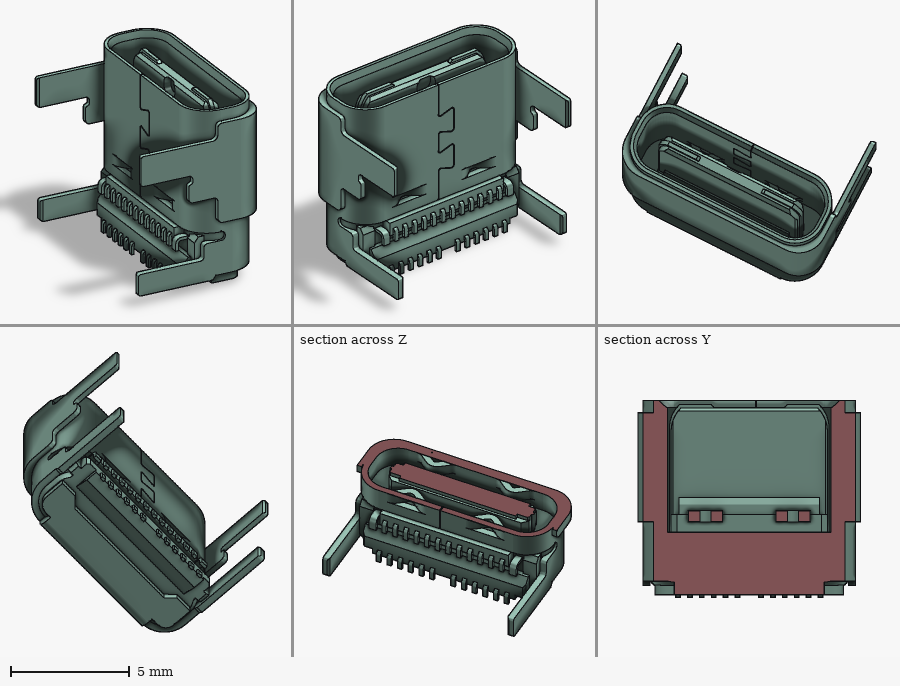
import cadquery as cq
import math


MOUTH_Z = 8.3
SHELL_BOTTOM_Z = 2.65
SHELL_HALF_X = 4.475
SHELL_HALF_Y = 1.585
SHELL_RADIUS = 1.31
WALL = 0.3
BORE_HALF_X = SHELL_HALF_X - WALL
BORE_HALF_Y = SHELL_HALF_Y - WALL
BORE_RADIUS = SHELL_RADIUS - WALL
LEAD_IN_WIDTH = 0.15
LEAD_IN_DEPTH = 0.3

SEAM_X = -0.3
SEAM_GAP = 0.035
DOVETAIL_REACH = 0.81
DOVETAIL_PITCH = 1.79
DOVETAIL_HEIGHT = 1.19
DOVETAIL_FLARE = 0.26
DOVETAIL_RADIUS = 0.11
DOVETAIL_COUNT = 2
FIRST_DOVETAIL_Z = 6.93

SPRING_X = 1.845
SPRING_HALF_X = 0.89
SPRING_Z = (3.18, 3.66)
SPRING_ANGLE = math.radians(38)
SPRING_SHOULDER_RADIUS = 0.66
SPRING_TROUGH_RADIUS = 0.21

LEG_TIP_Y = -4.24
LEG_END_RADIUS = 0.13
LEG_END_BEVEL = 0.09
CLIP_HALF_X = 4.695
CLIP_BACK_Y = 1.77
CLIP_RADIUS = 1.2
CLIP_Z = (3.18, 7.78)
CLIP_LEG_Z = (5.65, 7.03)
TAB_LEG_Z = (0.5, 1.5)
TAB_BOTTOM_Z = 0.69
TAB_TOP_Z = 2.25

FLOOR_Z = 2.75
HOUSING_BOTTOM_Z = 0.5
COLLAR_HALF_X = 4.355
COLLAR_BOTTOM_Z = 1.0
HOUSING_BEVEL = 0.18
EAR_X = (3.52, 4.15)
EAR_Y = (-1.38, -0.92)
EAR_TOP_Z = 2.48
EAR_BEVEL = (0.25, 0.19)
PIN_BLOCK_HALF_X = 3.02
PIN_BLOCK_FRONT_Y = -1.76
PIN_BLOCK_Z = (1.96, 2.58)
SILL_HALF_X = 3.82
SILL_FRONT_Y = -1.81
SILL_TOP_Z = 1.47
SILL_BOTTOM_Z = 0.26
SILL_SLOPE = (0.31, 0.4)
SILL_SIDE_BEVEL = 0.11
SILL_UNDERCUT_Y = (-1.28, -0.68)
FOOT_HALF_X = 3.97
FOOT_Y = (-0.46, 0.97)
FOOT_RADIUS = 0.49
FOOT_BOTTOM_Z = 0.11
HEEL_HALF_X = 3.16
HEEL_RADIUS = 0.38
FOOT_RECESS_HALF_X = (2.77, 3.17)
FOOT_RECESS_DEPTH = 0.4

TONGUE_ROOT_HALF_X = 3.29
TONGUE_ROOT_HALF_Y = 0.6
TONGUE_ROOT_TOP_Z = 3.5
TONGUE_ROOT_CORNER = 0.25
TONGUE_HALF_Y = 0.345
TONGUE_TOP_Z = 7.99
TONGUE_TIP_HALF_X = 2.87
TONGUE_END_DROP = 1.0
TONGUE_TIP_BEVEL = (0.14, 0.15)
TONGUE_SIDE_BEVEL = 0.08
PLATE_HALF_Y = 0.095
PLATE_PROUD_X = 0.075
PLATE_PROUD_Z = 0.13
PLATE_INNER_X = 1.48
PLATE_INNER_BEVEL = 0.12
POCKET_SIZE = (0.98, 0.72)
POCKET_Z = 7.56
POCKET_DEPTH = 0.33
POCKET_RADIUS = 0.3
BACK_LEDGE = (2.95, 0.51)
FRONT_LEDGE = (2.74, 0.49)
LEDGE_TOP_Z = 4.2
LEDGE_BEVEL = (0.3, 0.08)

TAIL_PITCH = 0.5
TAIL_WIDTH = 0.2
UPPER_TAIL_COUNT = 12
LOWER_TAILS_PER_SIDE = 6
UPPER_TAIL_TIP_Y = -1.905
UPPER_TAIL_Z = (1.69, 2.28)
UPPER_TAIL_THICKNESS = 0.14
LOWER_TAIL_TIP_Y = -1.94
LOWER_TAIL_Z = (0.0, 0.55)
LOWER_TAIL_THICKNESS = 0.12
TAIL_ROOT_Y = -1.2
END_TAIL_X = 3.29
END_TAIL_WIDTH = 0.33
BEND_RADIUS = 0.22
END_TAIL_BEND_RADIUS = 0.28

OVERLAP = 0.05
CLEARANCE = 1.0


def box(x_range, y_range, z_range):
    """Box between opposite corners."""
    (x0, x1), (y0, y1), (z0, z1) = x_range, y_range, z_range
    return cq.Workplane("XY").box(x1 - x0, y1 - y0, z1 - z0, centered=False).translate((x0, y0, z0))


def rounded_outline(plane, corners):
    """Closed polygon from (u, v, radius) corners, each with a tangent arc of its radius."""
    stretches = []
    for i, (u, v, radius) in enumerate(corners):
        here = cq.Vector(u, v)
        to_last = (cq.Vector(*corners[i - 1][:2]) - here).normalized()
        to_next = (cq.Vector(*corners[(i + 1) % len(corners)][:2]) - here).normalized()
        half_angle = to_last.getAngle(to_next) / 2
        tangent = radius / math.tan(half_angle)
        arc_gap = radius / math.sin(half_angle) - radius
        middle = here + (to_last + to_next).normalized() * arc_gap
        stretches.append((radius, here + to_last * tangent, middle, here + to_next * tangent))

    outline = cq.Workplane(plane).moveTo(*stretches[0][3].toTuple()[:2])
    for radius, start, middle, end in stretches[1:] + stretches[:1]:
        outline = outline.lineTo(*start.toTuple()[:2])
        if radius > 0:
            outline = outline.threePointArc(middle.toTuple()[:2], end.toTuple()[:2])
    return outline.close()


def racetrack(half_x, half_y, radius, z_range):
    """Rounded rectangle centred on Z."""
    block = box((-half_x, half_x), (-half_y, half_y), z_range)
    return block.edges("|Z").fillet(radius)


def mirrored_in_x(body):
    return body.union(body.mirror("YZ"))


def seam_plate(gap):
    """Left half of the front wall with its dovetail tongues, grown by a gap."""
    left = -BORE_HALF_X
    corners = [(left, MOUTH_Z + CLEARANCE, 0), (SEAM_X, MOUTH_Z + CLEARANCE, 0)]
    for i in range(DOVETAIL_COUNT):
        top = FIRST_DOVETAIL_Z - i * DOVETAIL_PITCH
        bottom = top - DOVETAIL_HEIGHT
        tip_x = SEAM_X + DOVETAIL_REACH
        corners.append((SEAM_X, top - DOVETAIL_FLARE, DOVETAIL_RADIUS))
        corners.append((tip_x, top, DOVETAIL_RADIUS))
        corners.append((tip_x, bottom, DOVETAIL_RADIUS))
        corners.append((SEAM_X, bottom + DOVETAIL_FLARE, DOVETAIL_RADIUS))
    corners += [(SEAM_X, 0, 0), (left, 0, 0)]
    outline = rounded_outline("XZ", corners)
    if gap > 0:
        outline = outline.offset2D(gap)
    return outline.extrude(WALL + 2 * OVERLAP).translate((0, -BORE_HALF_Y + OVERLAP, 0))


def spring(x, side):
    """Wavy strip of wall, pressed into the bore; side is -1 for the front wall, 1 for the back."""
    sine = math.sin(SPRING_ANGLE)
    drop = 1 - math.cos(SPRING_ANGLE)
    slope_start = SPRING_HALF_X - SPRING_SHOULDER_RADIUS * sine
    slope_end = SPRING_TROUGH_RADIUS * sine
    slope_drop = (slope_start - slope_end) * math.tan(SPRING_ANGLE)
    depth = (SPRING_SHOULDER_RADIUS + SPRING_TROUGH_RADIUS) * drop + slope_drop

    def wave(offset):
        shoulder = SPRING_SHOULDER_RADIUS - offset
        trough = SPRING_TROUGH_RADIUS + offset
        knee = (SPRING_HALF_X - shoulder * sine, offset + shoulder * drop)
        toe = (trough * sine, offset + depth - trough * drop)
        return shoulder, trough, knee, toe

    shoulder, trough, knee, toe = wave(0)
    strip = (
        cq.Workplane("XY")
        .moveTo(-SPRING_HALF_X, 0)
        .radiusArc((-knee[0], knee[1]), -shoulder)
        .lineTo(-toe[0], toe[1])
        .radiusArc(toe, trough)
        .lineTo(*knee)
        .radiusArc((SPRING_HALF_X, 0), -shoulder)
    )
    shoulder, trough, knee, toe = wave(WALL)
    strip = (
        strip.lineTo(SPRING_HALF_X, WALL)
        .radiusArc(knee, shoulder)
        .lineTo(*toe)
        .radiusArc((-toe[0], toe[1]), -trough)
        .lineTo(-knee[0], knee[1])
        .radiusArc((-SPRING_HALF_X, WALL), shoulder)
        .close()
        .extrude(SPRING_Z[1] - SPRING_Z[0])
        .translate((x, -SHELL_HALF_Y, SPRING_Z[0]))
    )
    return strip if side < 0 else strip.mirror("XZ")


def make_shell():
    tube = racetrack(SHELL_HALF_X, SHELL_HALF_Y, SHELL_RADIUS, (SHELL_BOTTOM_Z, MOUTH_Z))
    tube = tube.cut(racetrack(BORE_HALF_X, BORE_HALF_Y, BORE_RADIUS, (0, MOUTH_Z)))
    tube = tube.cut(lead_in())
    tube = tube.cut(seam_plate(SEAM_GAP).cut(seam_plate(0)))
    for x in (-SPRING_X, SPRING_X):
        x_range = (x - SPRING_HALF_X, x + SPRING_HALF_X)
        tube = tube.cut(box(x_range, (-SHELL_HALF_Y, SHELL_HALF_Y), SPRING_Z))
        for side in (-1, 1):
            tube = tube.union(spring(x, side))
    return tube


def lead_in():
    """Tapered plug that bevels the rim of the bore."""
    rim = racetrack(
        BORE_HALF_X + LEAD_IN_WIDTH,
        BORE_HALF_Y + LEAD_IN_WIDTH,
        BORE_RADIUS + LEAD_IN_WIDTH,
        (MOUTH_Z - LEAD_IN_DEPTH, MOUTH_Z + OVERLAP),
    )
    return rim.faces("<Z").chamfer(LEAD_IN_DEPTH, LEAD_IN_WIDTH)


def bracket_plan(half_x, back_y, radius):
    """Block reaching from the leg tips to a back face with rounded corners."""
    block = box((-half_x, half_x), (LEG_TIP_Y, back_y), (0, MOUTH_Z))
    return block.edges("|Z and >Y").fillet(radius)


def bevelled_gap(half_x, back_y, radius):
    """Space inside a bracket, flaring at the leg tips to bevel their inward edges."""
    gap = bracket_plan(half_x, back_y, radius)
    flare = (
        cq.Workplane("XY")
        .polyline([
            (half_x, LEG_TIP_Y),
            (half_x + LEG_END_BEVEL, LEG_TIP_Y),
            (half_x, LEG_TIP_Y + LEG_END_BEVEL),
        ])
        .close()
        .extrude(MOUTH_Z)
    )
    return gap.union(mirrored_in_x(flare))


def side_profile(corners):
    """Prism across the whole width from a (y, z, radius) outline."""
    return rounded_outline("YZ", corners).extrude(CLIP_HALF_X + CLEARANCE, both=True)


def make_clip():
    """Outer sheet-metal clip with the upper pair of legs."""
    edge_y = -0.555
    stub_y = -1.94
    stub_bottom_z = 4.39
    notch_y = -1.75
    notch_bottom_z = 5.3
    notch_slope = 0.1
    tight_radius = 0.1
    outer_radius = 0.2
    root_radius = 0.25
    profile = side_profile([
        (CLIP_BACK_Y + CLEARANCE, CLIP_Z[0], 0),
        (CLIP_BACK_Y + CLEARANCE, CLIP_Z[1], 0),
        (edge_y, CLIP_Z[1], outer_radius),
        (edge_y, CLIP_LEG_Z[1], root_radius),
        (LEG_TIP_Y, CLIP_LEG_Z[1], LEG_END_RADIUS),
        (LEG_TIP_Y, CLIP_LEG_Z[0], LEG_END_RADIUS),
        (notch_y, CLIP_LEG_Z[0], outer_radius),
        (notch_y, notch_bottom_z, tight_radius),
        (stub_y, notch_bottom_z - notch_slope, tight_radius),
        (stub_y, stub_bottom_z, outer_radius),
        (edge_y, stub_bottom_z, outer_radius),
        (edge_y, CLIP_Z[0], root_radius),
    ])
    clip = bracket_plan(CLIP_HALF_X, CLIP_BACK_Y, CLIP_RADIUS)
    return clip.cut(bevelled_gap(SHELL_HALF_X, SHELL_HALF_Y, SHELL_RADIUS)).intersect(profile)


def make_shell_skirt():
    """Back and sides of the shell below its mouth tube, with the lower pair of legs."""
    slot_end_y = -0.08
    slot_radius = 0.19
    slot_step_y = slot_end_y - slot_radius - OVERLAP
    shoulder_y = -1.1
    shoulder_radius = 0.17
    heel_y = -0.525
    heel_run = 0.15
    profile = side_profile([
        (SHELL_HALF_Y + CLEARANCE, TAB_BOTTOM_Z, 0),
        (SHELL_HALF_Y + CLEARANCE, SHELL_BOTTOM_Z + OVERLAP, 0),
        (slot_step_y, SHELL_BOTTOM_Z + OVERLAP, 0),
        (slot_step_y, SHELL_BOTTOM_Z, 0),
        (slot_end_y, SHELL_BOTTOM_Z, slot_radius),
        (slot_end_y, TAB_TOP_Z, slot_radius),
        (shoulder_y, TAB_TOP_Z, shoulder_radius),
        (shoulder_y, TAB_LEG_Z[1], shoulder_radius),
        (LEG_TIP_Y, TAB_LEG_Z[1], LEG_END_RADIUS),
        (LEG_TIP_Y, TAB_LEG_Z[0], LEG_END_RADIUS),
        (heel_y - heel_run, TAB_LEG_Z[0], 0),
        (heel_y, TAB_BOTTOM_Z, 0),
    ])
    skirt = bracket_plan(SHELL_HALF_X, SHELL_HALF_Y, SHELL_RADIUS)
    return skirt.cut(bevelled_gap(BORE_HALF_X, BORE_HALF_Y, BORE_RADIUS)).intersect(profile)


def make_housing():
    body = racetrack(BORE_HALF_X, BORE_HALF_Y, BORE_RADIUS, (HOUSING_BOTTOM_Z, FLOOR_Z))
    body = body.faces("<Z").chamfer(HOUSING_BEVEL)
    body = body.union(racetrack(COLLAR_HALF_X, BORE_HALF_Y, BORE_RADIUS, (COLLAR_BOTTOM_Z, FLOOR_Z)))

    bevel_drop, bevel_run = EAR_BEVEL
    ear = (
        cq.Workplane("YZ", origin=(EAR_X[0], 0, 0))
        .polyline([
            (EAR_Y[1], HOUSING_BOTTOM_Z),
            (EAR_Y[1], EAR_TOP_Z),
            (EAR_Y[0] + bevel_run, EAR_TOP_Z),
            (EAR_Y[0], EAR_TOP_Z - bevel_drop),
            (EAR_Y[0], HOUSING_BOTTOM_Z),
        ])
        .close()
        .extrude(EAR_X[1] - EAR_X[0])
    )
    ear = ear.faces("<Z").edges(">X").chamfer(HOUSING_BEVEL)
    body = body.union(mirrored_in_x(ear))

    pin_block = box(
        (-PIN_BLOCK_HALF_X, PIN_BLOCK_HALF_X),
        (PIN_BLOCK_FRONT_Y, 0),
        PIN_BLOCK_Z,
    )
    return body.union(pin_block).union(make_sill()).union(make_foot())


def make_sill():
    """Front ledge above the lower solder tails."""
    slope_run, slope_drop = SILL_SLOPE
    profile = [
        (SILL_FRONT_Y, SILL_BOTTOM_Z),
        (SILL_FRONT_Y, SILL_TOP_Z - slope_drop),
        (SILL_FRONT_Y + slope_run, SILL_TOP_Z),
        (0, SILL_TOP_Z),
        (0, HOUSING_BOTTOM_Z),
        (SILL_UNDERCUT_Y[1], HOUSING_BOTTOM_Z),
        (SILL_UNDERCUT_Y[0], SILL_BOTTOM_Z),
    ]
    sill = cq.Workplane("YZ").polyline(profile).close().extrude(SILL_HALF_X, both=True)
    plan = box((-SILL_HALF_X, SILL_HALF_X), (SILL_FRONT_Y, 0), (0, SILL_TOP_Z))
    plan = plan.edges("|Z and <Y").chamfer(SILL_SIDE_BEVEL)
    corner = box(
        (COLLAR_HALF_X - BORE_RADIUS, SILL_HALF_X),
        (SILL_FRONT_Y, 0),
        (0, HOUSING_BOTTOM_Z),
    )
    return sill.intersect(plan).cut(mirrored_in_x(corner))


def make_foot():
    """Stepped base below the housing, with a narrower heel at the back."""
    foot_z = (FOOT_BOTTOM_Z, HOUSING_BOTTOM_Z + OVERLAP)
    foot = box((-FOOT_HALF_X, FOOT_HALF_X), FOOT_Y, foot_z)
    foot = foot.edges("|Z and >Y").fillet(FOOT_RADIUS)
    inner_x, outer_x = FOOT_RECESS_HALF_X
    recess_y = FOOT_Y[0] + FOOT_RECESS_DEPTH
    recess = (
        cq.Workplane("XY", origin=(0, 0, FOOT_BOTTOM_Z))
        .polyline([(-outer_x, FOOT_Y[0]), (outer_x, FOOT_Y[0]), (inner_x, recess_y), (-inner_x, recess_y)])
        .close()
        .extrude(HOUSING_BOTTOM_Z - FOOT_BOTTOM_Z)
    )
    foot = foot.cut(recess)
    heel = box((-HEEL_HALF_X, HEEL_HALF_X), (0, SHELL_HALF_Y), (FOOT_BOTTOM_Z, TAB_BOTTOM_Z))
    heel = heel.faces("<Z").edges(">Y").fillet(HEEL_RADIUS)
    return foot.union(heel)


def make_tongue():
    root = box(
        (-TONGUE_ROOT_HALF_X, TONGUE_ROOT_HALF_X),
        (-TONGUE_ROOT_HALF_Y, TONGUE_ROOT_HALF_Y),
        (FLOOR_Z - OVERLAP, TONGUE_ROOT_TOP_Z),
    )
    root = root.edges("|Z").chamfer(TONGUE_ROOT_CORNER)
    root = root.union(ledge(*BACK_LEDGE)).union(ledge(*FRONT_LEDGE).mirror("XZ"))

    blade = rounded_end_slab(0, 0, TONGUE_HALF_Y)
    tip_drop, tip_run = TONGUE_TIP_BEVEL
    roof = (
        cq.Workplane("YZ")
        .polyline([
            (-TONGUE_HALF_Y, 0),
            (-TONGUE_HALF_Y, TONGUE_TOP_Z - tip_drop),
            (tip_run - TONGUE_HALF_Y, TONGUE_TOP_Z),
            (TONGUE_HALF_Y - tip_run, TONGUE_TOP_Z),
            (TONGUE_HALF_Y, TONGUE_TOP_Z - tip_drop),
            (TONGUE_HALF_Y, 0),
        ])
        .close()
        .extrude(TONGUE_ROOT_HALF_X, both=True)
        .edges("|Z").chamfer(TONGUE_SIDE_BEVEL)
    )
    pocket = (
        cq.Workplane("XZ", origin=(0, -TONGUE_HALF_Y + POCKET_DEPTH, POCKET_Z))
        .rect(*POCKET_SIZE)
        .extrude(CLEARANCE)
        .edges("|Y").fillet(POCKET_RADIUS)
    )
    blade = blade.intersect(roof).cut(pocket)
    return root.union(blade).union(mirrored_in_x(side_plate()))


def ledge(half_x, reach_y):
    """Sloped step along the +Y side of the tongue root."""
    drop, run = LEDGE_BEVEL
    return (
        cq.Workplane("YZ")
        .polyline([
            (0, FLOOR_Z),
            (reach_y, FLOOR_Z),
            (reach_y, LEDGE_TOP_Z - drop),
            (reach_y - run, LEDGE_TOP_Z),
            (0, LEDGE_TOP_Z),
        ])
        .close()
        .extrude(half_x, both=True)
    )


def rounded_end_slab(proud_x, proud_z, half_y):
    """Tongue-shaped slab whose ends curve in towards the tip, grown outward and upward."""
    half_x = TONGUE_ROOT_HALF_X + proud_x
    tip_x = TONGUE_TIP_HALF_X + proud_x
    tip_z = TONGUE_TOP_Z + proud_z
    shoulder_z = tip_z - TONGUE_END_DROP
    return (
        cq.Workplane("XZ")
        .moveTo(-half_x, FLOOR_Z - OVERLAP)
        .lineTo(half_x, FLOOR_Z - OVERLAP)
        .lineTo(half_x, shoulder_z)
        .radiusArc((tip_x, tip_z), -end_radius())
        .lineTo(-tip_x, tip_z)
        .radiusArc((-half_x, shoulder_z), -end_radius())
        .close()
        .extrude(half_y, both=True)
    )


def end_radius():
    """Radius of the arc that leaves the tongue end upright and meets the tip."""
    run = TONGUE_ROOT_HALF_X - TONGUE_TIP_HALF_X
    return (run ** 2 + TONGUE_END_DROP ** 2) / (2 * run)


def side_plate():
    """Latch plate embedded in the tongue, standing proud of its end and tip."""
    slab = rounded_end_slab(PLATE_PROUD_X, PLATE_PROUD_Z, PLATE_HALF_Y)
    top_z = TONGUE_TOP_Z + PLATE_PROUD_Z
    keep = box((PLATE_INNER_X, SHELL_HALF_X), (-PLATE_HALF_Y, PLATE_HALF_Y), (0, top_z))
    keep = keep.faces(">Z").edges("<X").chamfer(PLATE_INNER_BEVEL)
    return slab.intersect(keep)


def tail(x, width, tip_y, z_range, thickness, bend_radius=BEND_RADIUS):
    """Terminal that leaves the housing towards -Y and bends down."""
    bottom, top = z_range
    inner_y = tip_y + thickness
    inner_radius = bend_radius - thickness
    corners = [
        (TAIL_ROOT_Y, top, 0),
        (tip_y, top, bend_radius),
        (tip_y, bottom, 0),
        (inner_y, bottom, 0),
        (inner_y, top - thickness, inner_radius),
        (TAIL_ROOT_Y, top - thickness, 0),
    ]
    return rounded_outline("YZ", corners).extrude(width / 2, both=True).translate((x, 0, 0))


def make_tails():
    upper = (UPPER_TAIL_TIP_Y, UPPER_TAIL_Z, UPPER_TAIL_THICKNESS)
    lower = (LOWER_TAIL_TIP_Y, LOWER_TAIL_Z, LOWER_TAIL_THICKNESS)
    tails = []
    for i in range(UPPER_TAIL_COUNT):
        x = (i - (UPPER_TAIL_COUNT - 1) / 2) * TAIL_PITCH
        tails.append(tail(x, TAIL_WIDTH, *upper))
    for side in (-1, 1):
        tails.append(tail(side * END_TAIL_X, END_TAIL_WIDTH, *upper, END_TAIL_BEND_RADIUS))
        for i in range(LOWER_TAILS_PER_SIDE):
            tails.append(tail(side * (i + 1) * TAIL_PITCH, TAIL_WIDTH, *lower))
    return tails


result = make_shell().union(make_shell_skirt()).union(make_clip())
result = result.union(make_housing()).union(make_tongue())
for terminal in make_tails():
    result = result.union(terminal)